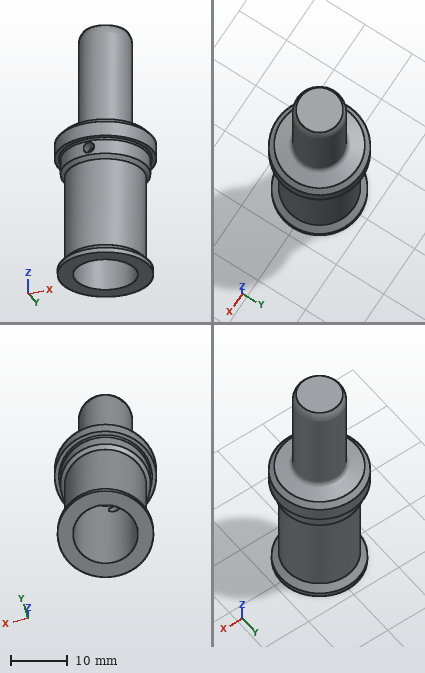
import cadquery as cq

total_height = 47.7
flange_diameter = 18.0
flange_radius = flange_diameter / 2
pin_radius = 4.75
collar_radius = 7.95
barrel_radius = 7.25
foot_radius = 8.5

foot_rim_height = 0.9
foot_flare_top = foot_rim_height + foot_radius - barrel_radius

collar_bottom = 19.3
collar_chamfer_top = collar_bottom + collar_radius - barrel_radius
collar_relief = 0.3

flange_bottom = 23.1
flange_rim_top = 25.85
cone_outer_radius = 8.0
cone_bottom = 26.85
cone_inner_radius = 5.5
cone_top = 27.55
pin_root_top = 28.55

tip_flat_radius = 4.15
tip_height = 1.75

bore_radius = 5.72
bore_depth = flange_bottom

hole_radius = 1.0
hole_z = 21.5


def make_body():
    """Revolve the half profile of the contact around the Z axis."""
    profile = (
        cq.Workplane("XZ")
        .lineTo(foot_radius, 0)
        .lineTo(foot_radius, foot_rim_height)
        .lineTo(barrel_radius, foot_flare_top)
        .lineTo(barrel_radius, collar_bottom)
        .lineTo(collar_radius, collar_chamfer_top)
        .lineTo(collar_radius, flange_bottom - collar_relief)
        .lineTo(collar_radius + collar_relief, flange_bottom)
        .lineTo(flange_radius, flange_bottom)
        .lineTo(flange_radius, flange_rim_top)
        .lineTo(cone_outer_radius, cone_bottom)
        .lineTo(cone_inner_radius, cone_top)
        .tangentArcPoint((pin_radius, pin_root_top), relative=False)
        .lineTo(pin_radius, total_height - tip_height)
        .tangentArcPoint((tip_flat_radius, total_height), relative=False)
        .lineTo(0, total_height)
        .close()
    )
    return profile.revolve(360, (0, 0, 0), (0, 1, 0))


def make_bore():
    """Blind axial bore entering from the foot."""
    return cq.Workplane("XY").circle(bore_radius).extrude(bore_depth)


def make_inspection_hole():
    """Cylinder from the axis out through the -Y side of the collar."""
    return cq.Workplane("XZ", origin=(0, 0, hole_z)).circle(hole_radius).extrude(foot_radius)


result = make_body().cut(make_bore()).cut(make_inspection_hole())